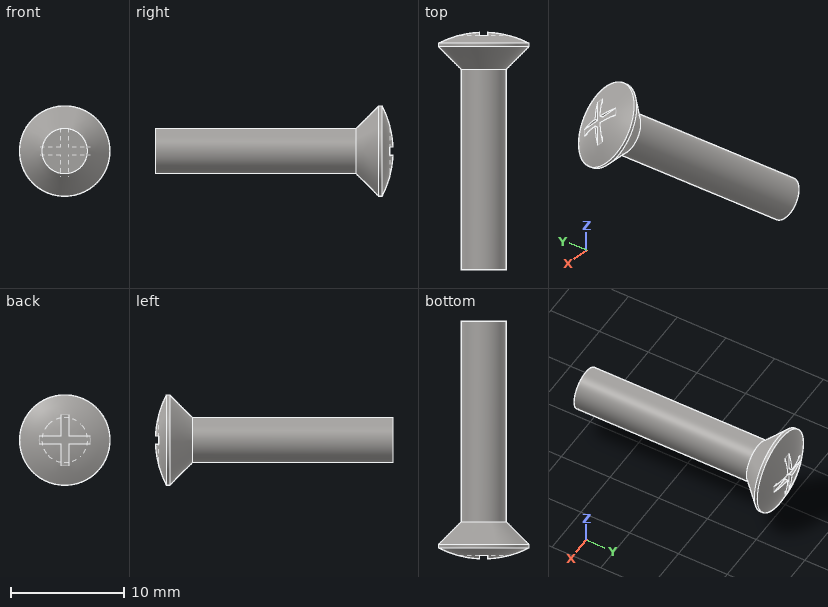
import cadquery as cq
import math

head_diameter = 8.0
shank_diameter = 4.0
length_below_dome = 20.0
rim_thickness = 0.3
dome_height = 0.985
slot_width = 0.7
slot_depth = 0.3

head_radius = head_diameter / 2
shank_radius = shank_diameter / 2
cone_height = head_radius - shank_radius

shank_end_y = -length_below_dome
rim_bottom_y = -rim_thickness
cone_bottom_y = rim_bottom_y - cone_height

dome_radius = (head_radius**2 + dome_height**2) / (2 * dome_height)
dome_center_y = dome_height - dome_radius
dome_half_angle = math.asin(head_radius / dome_radius) / 2
dome_mid_point = (
    dome_radius * math.sin(dome_half_angle),
    dome_center_y + dome_radius * math.cos(dome_half_angle),
)


def screw_body():
    """Shank, countersunk cone, rim and dome, revolved about the Y axis."""
    return (
        cq.Workplane("XY")
        .moveTo(0, shank_end_y)
        .lineTo(shank_radius, shank_end_y)
        .lineTo(shank_radius, cone_bottom_y)
        .lineTo(head_radius, rim_bottom_y)
        .lineTo(head_radius, 0)
        .threePointArc(dome_mid_point, (0, dome_height))
        .close()
        .revolve(360, (0, 0), (0, 1))
    )


def cross_slots():
    """Two crossing flat-bottomed slots that run out through the dome."""
    slot_floor_y = dome_height - slot_depth
    slot_center = (0, slot_floor_y + slot_depth / 2, 0)
    slot_along_x = cq.Workplane("XY").box(head_diameter, slot_depth, slot_width)
    slot_along_z = cq.Workplane("XY").box(slot_width, slot_depth, head_diameter)
    return slot_along_x.union(slot_along_z).translate(slot_center)


result = screw_body().cut(cross_slots())